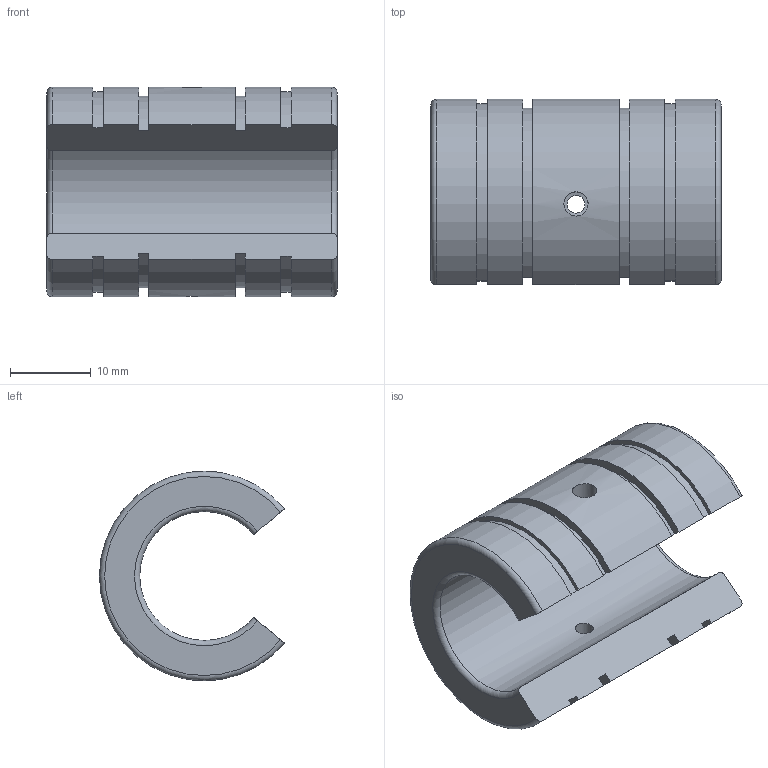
import cadquery as cq
import math

length = 36.0
outer_radius = 13.0
bore_radius = 8.0
overall_depth = 22.97
edge_radius = 0.65

outer_groove_offset = 11.65
outer_groove_width = 1.36
outer_groove_depth = 0.55
inner_groove_offset = 6.0
inner_groove_width = 1.25
inner_groove_depth = 1.1

upper_hole_diameter = 3.0
lower_hole_diameter = 2.2

lip_distance = overall_depth - outer_radius
opening_half_angle = math.acos(lip_distance / outer_radius)


def ring(center_x, width, outside_radius, inside_radius):
    """Ring around the X axis, centred lengthwise on center_x."""
    return (
        cq.Workplane("YZ", origin=(center_x - width / 2, 0, 0))
        .circle(outside_radius)
        .circle(inside_radius)
        .extrude(width)
    )


def sleeve():
    """Plain tube with rounded end edges."""
    tube = ring(0, length, outer_radius, bore_radius)
    return tube.faces("<X or >X").edges().fillet(edge_radius)


def opening():
    """Wedge with its tip on the axis, reaching past the outside towards -Y."""
    reach = 2 * outer_radius
    half_height = reach * math.tan(opening_half_angle)
    return (
        cq.Workplane("YZ")
        .polyline([(0, 0), (-reach, half_height), (-reach, -half_height)])
        .close()
        .extrude(length, both=True)
    )


def groove(center_x, width, depth):
    """Ring of material removed by a square groove around the outside."""
    return ring(center_x, width, outer_radius + depth, outer_radius - depth)


def lubrication_hole(diameter, direction):
    """Hole from the axis out through one wall: direction 1 is +Z, -1 is -Z."""
    return cq.Workplane("XY").circle(diameter / 2).extrude(direction * outer_radius)


result = sleeve().cut(opening())
for side in (-1, 1):
    result = result.cut(groove(side * outer_groove_offset, outer_groove_width, outer_groove_depth))
    result = result.cut(groove(side * inner_groove_offset, inner_groove_width, inner_groove_depth))
result = result.cut(lubrication_hole(upper_hole_diameter, 1))
result = result.cut(lubrication_hole(lower_hole_diameter, -1))